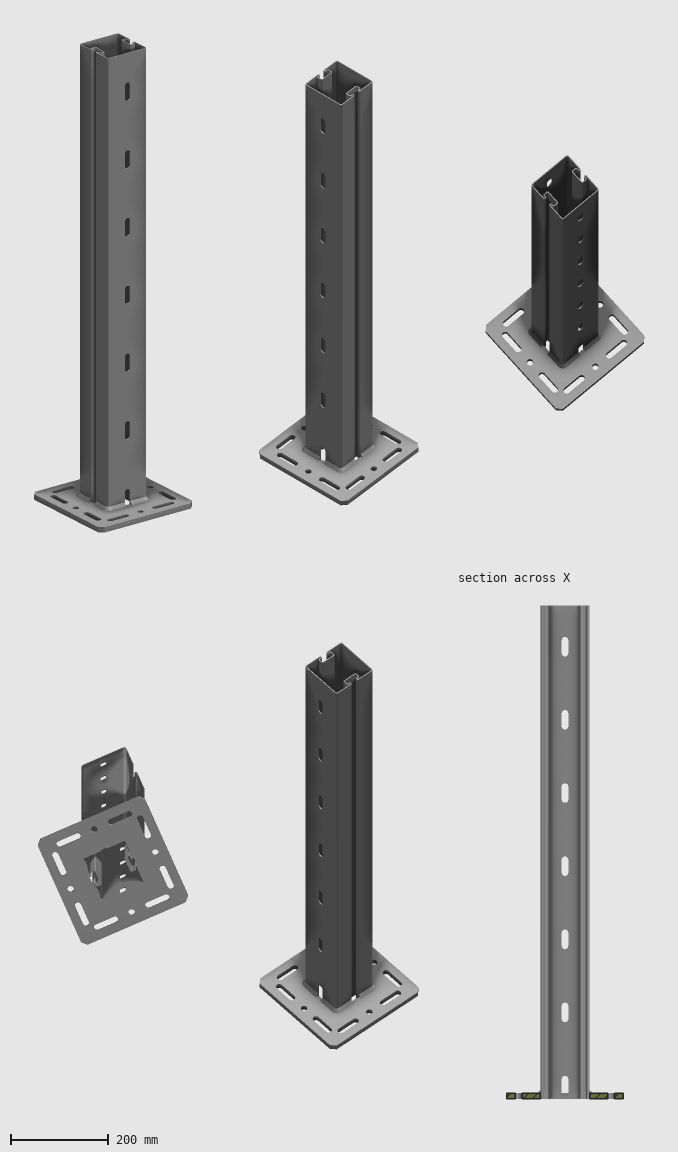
import cadquery as cq

PLATE_SIDE = 240.0
PLATE_THICKNESS = 12.0
PLATE_CORNER_CHAMFER = 10.0
HOLE_DIAMETER = 13.5
HOLE_OFFSET = 95.0
PLATE_SLOT_TRAVEL = 40.0
PLATE_SLOT_LENGTH = PLATE_SLOT_TRAVEL + HOLE_DIAMETER
PLATE_SLOT_OFFSET = 57.5

TOTAL_HEIGHT = 1012.0
POST_SIDE = 100.0
POST_WALL = 2.0
POST_CORNER_RADIUS = 5.0
POST_INNER_SIDE = POST_SIDE - 2 * POST_WALL

CHANNEL_MOUTH = 14.0
CHANNEL_WIDTH = 34.0
CHANNEL_DEPTH = 18.0
BEND_OUTER_RADIUS = 3.25
BEND_INNER_RADIUS = BEND_OUTER_RADIUS - POST_WALL
FACE_GAP = CHANNEL_MOUTH + 2 * BEND_OUTER_RADIUS

POST_SLOT_LENGTH = 40.0
POST_SLOT_PITCH = 150.0
POST_SLOT_COUNT = 7
LOWEST_SLOT_HEIGHT = 27.0

WELD_LEG = 7.0


def make_plate():
    """Square plate with an opening for the post, round holes and edge slots."""
    plate = (
        cq.Workplane("XY")
        .rect(PLATE_SIDE, PLATE_SIDE)
        .extrude(PLATE_THICKNESS)
        .edges("|Z")
        .chamfer(PLATE_CORNER_CHAMFER)
    )
    opening = rounded_bar(POST_SIDE, POST_CORNER_RADIUS, 0, PLATE_THICKNESS)
    edge_cuts = (
        cq.Workplane("XY")
        .center(0, HOLE_OFFSET)
        .circle(HOLE_DIAMETER / 2)
        .pushPoints([(-PLATE_SLOT_OFFSET, 0), (PLATE_SLOT_OFFSET, 0)])
        .slot2D(PLATE_SLOT_LENGTH, HOLE_DIAMETER)
        .extrude(PLATE_THICKNESS)
    )
    plate = plate.cut(opening)
    for angle in (0, 90, 180, 270):
        plate = plate.cut(edge_cuts.rotate((0, 0, 0), (0, 0, 1), angle))
    return plate


def rounded_bar(side, radius, bottom, top):
    """Square bar with rounded vertical corners between two heights."""
    return (
        cq.Workplane("XY")
        .workplane(offset=bottom)
        .rect(side, side)
        .extrude(top - bottom)
        .edges("|Z")
        .fillet(radius)
    )


def channel_bar(front, back, width, radius):
    """Full-height rounded bar behind the -Y face, between two depths from that face."""
    return (
        cq.Workplane("XY")
        .center(0, (front + back - POST_SIDE) / 2)
        .rect(width, back - front)
        .extrude(TOTAL_HEIGHT)
        .edges("|Z")
        .fillet(radius)
    )


def make_hem():
    """Half-round fold at the right edge of the -Y mouth, bulging into the mouth."""
    ring = (
        cq.Workplane("XY")
        .circle(BEND_OUTER_RADIUS)
        .circle(BEND_INNER_RADIUS)
        .extrude(TOTAL_HEIGHT)
    )
    right_half = cq.Workplane("XY").box(
        POST_SIDE, POST_SIDE, TOTAL_HEIGHT, centered=(False, True, False)
    )
    return ring.cut(right_half).translate((FACE_GAP / 2, BEND_OUTER_RADIUS - POST_SIDE / 2, 0))


def make_channel():
    """C-channel of the -Y face: returns, walls and floor, with hems at the mouth."""
    front = 2 * BEND_OUTER_RADIUS - POST_WALL
    trough = channel_bar(front, CHANNEL_DEPTH, CHANNEL_WIDTH, BEND_OUTER_RADIUS)
    pocket = channel_bar(
        front + POST_WALL,
        CHANNEL_DEPTH - POST_WALL,
        CHANNEL_WIDTH - 2 * POST_WALL,
        BEND_INNER_RADIUS,
    )
    mouth = (
        cq.Workplane("XY")
        .center(0, front + POST_WALL - POST_SIDE)
        .rect(FACE_GAP, POST_SIDE)
        .extrude(TOTAL_HEIGHT)
    )
    hem = make_hem()
    return trough.cut(pocket).cut(mouth).union(hem).union(hem.mirror("YZ"))


def make_post():
    """Square tube with a folded-in C-channel in the -Y and +Y faces."""
    inner_radius = POST_CORNER_RADIUS - POST_WALL
    post = rounded_bar(POST_SIDE, POST_CORNER_RADIUS, 0, TOTAL_HEIGHT)
    post = post.cut(rounded_bar(POST_INNER_SIDE, inner_radius, 0, TOTAL_HEIGHT))
    face_gaps = cq.Workplane("XY").rect(FACE_GAP, PLATE_SIDE).extrude(TOTAL_HEIGHT)
    channel = make_channel()
    return post.cut(face_gaps).union(channel).union(channel.mirror("XZ"))


def bead_section(inner_edge):
    """Triangular weld section standing on the plate, in the XZ plane."""
    return (
        cq.Workplane("XZ")
        .moveTo(inner_edge, PLATE_THICKNESS)
        .lineTo(inner_edge + WELD_LEG, PLATE_THICKNESS)
        .lineTo(inner_edge, PLATE_THICKNESS + WELD_LEG)
        .close()
    )


def make_weld():
    """Sloped bead around the post, open at the channel mouths."""
    corner_centre = POST_SIDE / 2 - POST_CORNER_RADIUS
    side = bead_section(POST_SIDE / 2).extrude(corner_centre, both=True)
    corner = (
        bead_section(POST_CORNER_RADIUS)
        .revolve(90, (0, 0, 0), (0, 1, 0))
        .translate((corner_centre, corner_centre, 0))
    )
    quarter = side.union(corner)
    bead = quarter
    for angle in (90, 180, 270):
        bead = bead.union(quarter.rotate((0, 0, 0), (0, 0, 1), angle))
    mouth_gap = cq.Workplane("XY").rect(FACE_GAP, PLATE_SIDE).extrude(TOTAL_HEIGHT)
    return bead.cut(mouth_gap)


def make_post_slots():
    """Row of slots through the post; the lowest one runs out at the foot."""
    heights = [LOWEST_SLOT_HEIGHT + i * POST_SLOT_PITCH for i in range(POST_SLOT_COUNT)]
    slots = (
        cq.Workplane("YZ")
        .pushPoints([(0, height) for height in heights])
        .slot2D(POST_SLOT_LENGTH, HOLE_DIAMETER, 90)
        .extrude(PLATE_SIDE / 2, both=True)
    )
    run_out = cq.Workplane("XY").rect(PLATE_SIDE, HOLE_DIAMETER).extrude(LOWEST_SLOT_HEIGHT)
    return slots.union(run_out)


upright = make_post().union(make_weld()).cut(make_post_slots())
result = make_plate().union(upright)